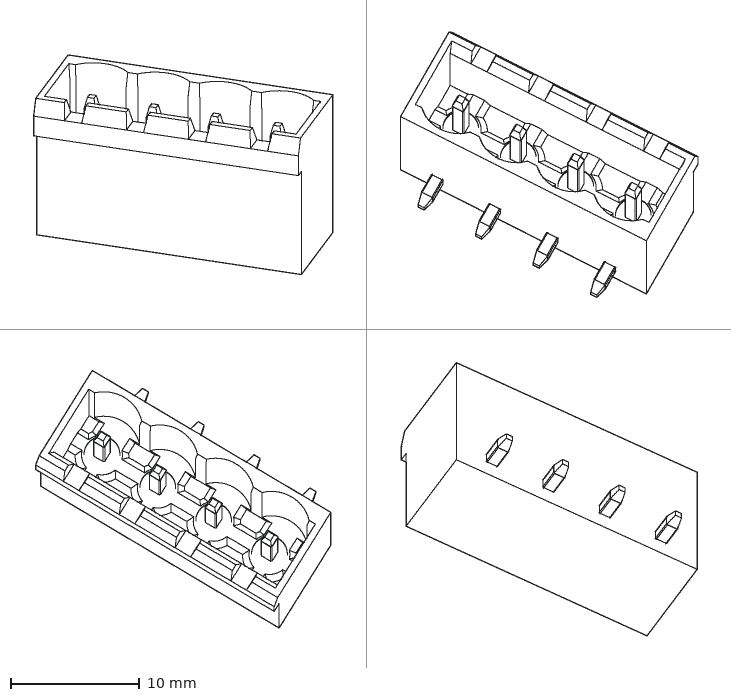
import cadquery as cq
import math


pin_count = 4
pitch = 5.08
pin_positions = [(i - (pin_count - 1) / 2) * pitch for i in range(pin_count)]

length = 21.72
depth = 7.73
height = 12.0
back_y = depth / 2
front_y = -depth / 2
nose_overhang = 0.74
nose_height = 3.02
nose_chamfer_run = 0.52
nose_chamfer_drop = 1.3
nose_y = front_y - nose_overhang

plateau_z = 4.0
cavity_half_length = 10.16
cavity_back_y = 2.24
cavity_front_y = -3.0
mouth_drop = nose_chamfer_drop
mouth_z = height - mouth_drop
mouth_side_flare = 0.15
mouth_back_flare = 0.2
mouth_front_flare = 0.55

bay_radius = 2.82
bay_centre_y = 0.3

flank_run = 0.5
flank_height = flank_run
floor_z = plateau_z - flank_height
ridge_half_width = 0.5
back_ridge_half_width = 1.15

boss_radius = 1.4
boss_foot_fillet = 0.2
boss_top_fillet = 0.22
boss_height = 0.55
boss_foot_radius = boss_radius + boss_foot_fillet

notch_floor_width = 1.41
notch_top_width = 1.78

pin_size = 1.02
pin_edge_chamfer = 0.09
pin_tip_base_size = 0.98
pin_tip_size = 0.55
pin_tip_length = 0.98
pin_top_z = 10.73
tail_axis_z = 1.98
tail_reach = 2.63
tail_end_y = back_y + tail_reach


def make_block():
    """Solid block with the chamfered nose along its front top edge."""
    outline = [
        (back_y, 0),
        (back_y, height),
        (nose_y + nose_chamfer_run, height),
        (nose_y, height - nose_chamfer_drop),
        (nose_y, height - nose_height),
        (front_y, height - nose_height),
        (front_y, 0),
    ]
    return cq.Workplane("YZ").polyline(outline).close().extrude(length / 2, both=True)


def rectangle_at(z, half_length, y_min, y_max):
    """A workplane at height z holding a rectangle centred on X = 0."""
    plane = cq.Workplane("XY", origin=(0, (y_min + y_max) / 2, z))
    return plane.rect(2 * half_length, y_max - y_min)


def make_cavity():
    """Rectangular pocket down to the low floor, flaring outward over the mouth."""
    shaft = rectangle_at(floor_z, cavity_half_length, cavity_front_y, cavity_back_y).extrude(height - floor_z)
    mouth_y_min = cavity_front_y - mouth_front_flare
    mouth_y_max = cavity_back_y + mouth_back_flare
    mouth_shift = (mouth_y_min + mouth_y_max - cavity_front_y - cavity_back_y) / 2
    mouth = (
        rectangle_at(mouth_z, cavity_half_length, cavity_front_y, cavity_back_y)
        .workplane(offset=mouth_drop)
        .center(0, mouth_shift)
        .rect(2 * (cavity_half_length + mouth_side_flare), mouth_y_max - mouth_y_min)
        .loft(ruled=True)
    )
    return shaft.union(mouth)


def make_bay(x):
    """Cylinder with a conical mouth, kept only where it cuts into the back wall."""
    mouth_radius = bay_radius + mouth_back_flare
    profile = [
        (0, plateau_z),
        (bay_radius, plateau_z),
        (bay_radius, mouth_z),
        (mouth_radius, height),
        (0, height),
    ]
    round_bay = cq.Workplane("XZ").polyline(profile).close().revolve(360, (0, 0), (0, 1))
    round_bay = round_bay.translate((x, bay_centre_y, 0))
    back_wall = rectangle_at(0, length / 2, cavity_back_y, back_y).extrude(height)
    return round_bay.intersect(back_wall)


def ridge_profile(half_width):
    """Corners of a trapezoid ridge, from the low floor up to the plateau."""
    foot = half_width + flank_run
    return [(-foot, floor_z), (foot, floor_z), (half_width, plateau_z), (-half_width, plateau_z)]


def make_long_ridge():
    """Ridge along the whole pin row, ending at the cavity side walls."""
    profile = ridge_profile(ridge_half_width)
    return cq.Workplane("YZ").polyline(profile).close().extrude(cavity_half_length, both=True)


def make_cross_ridges(x):
    """Narrow ridge from the pin to the front wall and wide ridge from the pin to the back wall."""
    front = cq.Workplane("XZ").polyline(ridge_profile(ridge_half_width)).close().extrude(-cavity_front_y)
    back = cq.Workplane("XZ").polyline(ridge_profile(back_ridge_half_width)).close().extrude(-cavity_back_y)
    return front.union(back).translate((x, 0, 0))


def make_boss(x):
    """Cone on the low floor carrying a round boss with a filleted foot and a rounded top."""
    boss_top_z = plateau_z + boss_height
    diagonal = math.sqrt(0.5)
    foot_offset = boss_foot_fillet * (1 - diagonal)
    top_offset = boss_top_fillet * (1 - diagonal)
    profile = (
        cq.Workplane("XZ")
        .moveTo(0, floor_z)
        .lineTo(boss_foot_radius + flank_run, floor_z)
        .lineTo(boss_foot_radius, plateau_z)
        .threePointArc(
            (boss_radius + foot_offset, plateau_z + foot_offset),
            (boss_radius, plateau_z + boss_foot_fillet),
        )
        .lineTo(boss_radius, boss_top_z - boss_top_fillet)
        .threePointArc(
            (boss_radius - top_offset, boss_top_z - top_offset),
            (boss_radius - boss_top_fillet, boss_top_z),
        )
        .lineTo(0, boss_top_z)
        .close()
    )
    return profile.revolve(360, (0, 0), (0, 1)).translate((x, 0, 0))


def make_notch(x):
    """Notch through the front wall and nose in front of a pin, wider at the top."""
    half_floor = notch_floor_width / 2
    half_top = notch_top_width / 2
    notch_z = height - nose_chamfer_drop
    profile = [(-half_floor, notch_z), (half_floor, notch_z), (half_top, height), (-half_top, height)]
    notch = cq.Workplane("XZ").polyline(profile).close().extrude(-nose_y)
    return notch.translate((x, 0, 0))


def make_leg(leg_length):
    """Square bar along +Z from Z = 0 with chamfered long edges and a tapered tip."""
    bar_length = leg_length - pin_tip_length
    bar = cq.Workplane("XY").rect(pin_size, pin_size).extrude(bar_length)
    bar = bar.edges("|Z").chamfer(pin_edge_chamfer)
    tip = (
        cq.Workplane("XY", origin=(0, 0, bar_length))
        .rect(pin_tip_base_size, pin_tip_base_size)
        .workplane(offset=pin_tip_length)
        .rect(pin_tip_size, pin_tip_size)
        .loft(ruled=True)
    )
    return bar.union(tip)


def make_pin(x):
    """Contact leg pointing up and solder tail pointing back, joined at the elbow."""
    half_size = pin_size / 2
    heel_z = tail_axis_z - half_size
    contact = make_leg(pin_top_z - heel_z).translate((0, 0, heel_z))
    tail = make_leg(tail_end_y + half_size).rotate((0, 0, 0), (1, 0, 0), -90)
    tail = tail.translate((0, -half_size, tail_axis_z))
    return contact.union(tail).translate((x, 0, 0))


def make_housing(pins):
    """Housing with its cavity, floor relief and the passages that hold the pins."""
    housing = make_block().cut(make_cavity())
    for x in pin_positions:
        housing = housing.cut(make_bay(x)).cut(make_notch(x))
    housing = housing.union(make_long_ridge())
    for x in pin_positions:
        housing = housing.union(make_cross_ridges(x)).union(make_boss(x))
    for pin in pins:
        housing = housing.cut(pin)
    return housing


pins = [make_pin(x) for x in pin_positions]
housing = make_housing(pins)

result = cq.Compound.makeCompound([housing.val(), *[pin.val() for pin in pins]])